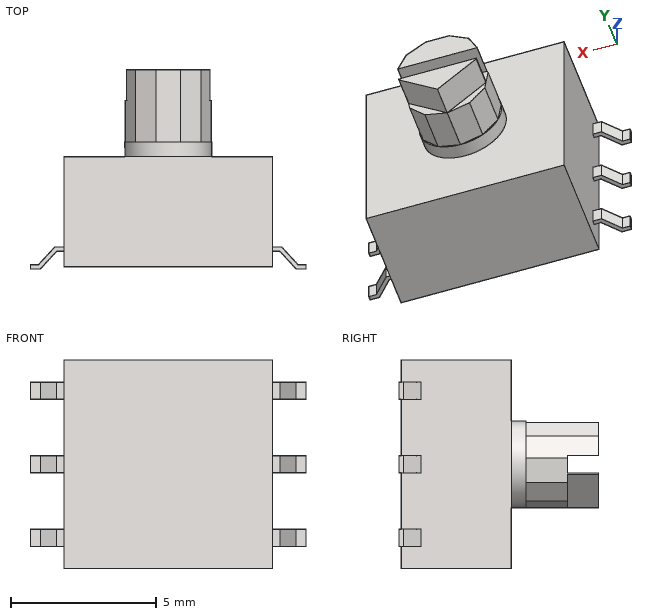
import cadquery as cq
import math

overall_width = 9.5
body_side = 7.2
body_depth = 3.8

collar_radius = 1.5
collar_length = 0.5
knob_sides = 11
knob_length = 2.5
slot_width = 0.6
slot_depth = 1.06
pointer_lip = 0.05

leads_per_side = 3
lead_pitch = 2.54
lead_width = 0.6
lead_thickness = 0.15
foot_drop = 0.08
lead_height = 0.76
shoulder_length = 0.25
slope_run = 0.56
bend_shift = 0.07

collar_end = body_depth + collar_length
knob_end = collar_end + knob_length
slot_floor = knob_end - slot_depth


def xz_plane(y):
    """Plane parallel to XZ at position y, with local axes X and Z; negative extrusion runs toward +Y."""
    return cq.Workplane("XZ", origin=(0, y, 0))


def make_body():
    return xz_plane(0).rect(body_side, body_side).extrude(-body_depth)


def knob_corner(index):
    """Corner of the knob prism, counted from +Z toward +X; a flat faces +Z and a corner points to -Z."""
    angle = (2 * index + 1) * math.pi / knob_sides
    return collar_radius * math.sin(angle), collar_radius * math.cos(angle)


def make_pointer_cutter():
    """Everything below the slot that lies outside the downward-pointing arrow."""
    reach = 2 * collar_radius
    lip_z = -slot_width / 2 - pointer_lip
    upper_x, upper_z = knob_corner(2)
    lower_x, lower_z = knob_corner(3)
    lip_x = upper_x + (lower_x - upper_x) * (lip_z - upper_z) / (lower_z - upper_z)
    outline = [
        (-reach, lip_z),
        (-lip_x, lip_z),
        (0, -collar_radius),
        (lip_x, lip_z),
        (reach, lip_z),
        (reach, -reach),
        (-reach, -reach),
    ]
    return xz_plane(slot_floor).polyline(outline).close().extrude(-slot_depth)


def make_knob():
    collar = xz_plane(body_depth).circle(collar_radius).extrude(-collar_length)
    corners = [knob_corner(i) for i in range(knob_sides)]
    prism = xz_plane(collar_end).polyline(corners).close().extrude(-knob_length)
    slot_span = 4 * collar_radius
    slot = xz_plane(slot_floor).rect(slot_span, slot_width).extrude(-slot_depth)
    return collar.union(prism.cut(slot).cut(make_pointer_cutter()))


def make_lead(z):
    """Lead on the +X side, centred at height z."""
    wall = body_side / 2
    tip = overall_width / 2
    sole = -foot_drop
    top = sole + lead_height
    lower_bend = wall + shoulder_length
    foot_start = lower_bend + slope_run
    outline = [
        (wall, top),
        (lower_bend + bend_shift, top),
        (foot_start + bend_shift, sole + lead_thickness),
        (tip, sole + lead_thickness),
        (tip, sole),
        (foot_start, sole),
        (lower_bend, top - lead_thickness),
        (wall, top - lead_thickness),
    ]
    base = cq.Workplane("XY", origin=(0, 0, z - lead_width / 2))
    return base.polyline(outline).close().extrude(lead_width)


result = make_body().union(make_knob())
for i in range(leads_per_side):
    lead = make_lead((i - (leads_per_side - 1) / 2) * lead_pitch)
    result = result.union(lead).union(lead.mirror("YZ"))